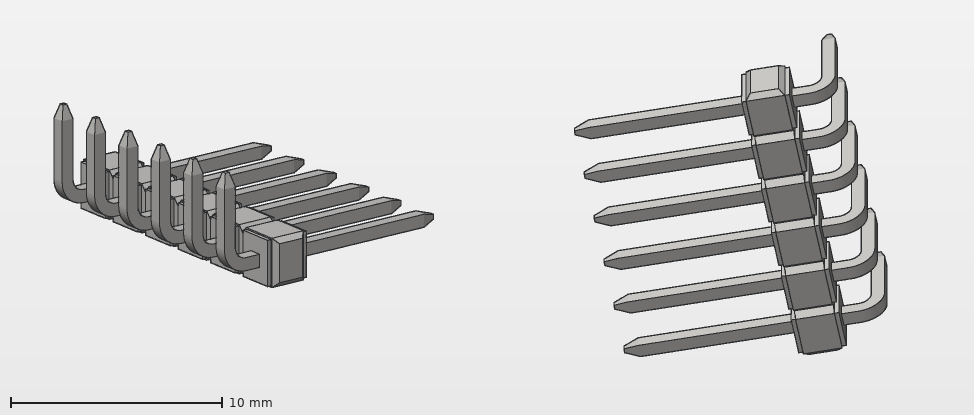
import cadquery as cq

pin_count = 6
body_length = 15.24
pitch = body_length / pin_count
overall_depth = 12.62
overall_height = 5.91

body_depth = 1.87
body_height = 2.47
end_chamfer = 0.26
notch_depth = 0.34
notch_half_width = 0.27

pad_width = 1.92
pad_height = 2.32
pad_span = 2.3

pin_size = 0.65
pin_axis_height = 1.2
inner_bend_radius = 0.61
outer_bend_radius = inner_bend_radius + pin_size
front_reach = 2.09
tip_length = 0.73
tip_size = 0.23

pin_front = -pad_span / 2 - front_reach
pin_back = pin_front + overall_depth
pin_bottom = pin_axis_height - pin_size / 2
pin_positions = [(i + 0.5) * pitch - body_length / 2 for i in range(pin_count)]
notch_positions = [i * pitch - body_length / 2 for i in range(1, pin_count)]


def make_body():
    """Bar with chamfered ends and V notches between the cells."""
    body = cq.Workplane("XY").box(body_length, body_depth, body_height, centered=(True, True, False))
    body = body.faces("<X or >X").edges().chamfer(end_chamfer)
    for x in notch_positions:
        for surface, apex in ((0, notch_depth), (body_height, body_height - notch_depth)):
            notch = (
                cq.Workplane("XZ")
                .polyline([(x - notch_half_width, surface), (x, apex), (x + notch_half_width, surface)])
                .close()
                .extrude(body_depth, both=True)
            )
            body = body.cut(notch)
    return body


def make_pad(x):
    """Block through the body that stands proud as a pad at front and back."""
    return cq.Workplane("XY").box(pad_width, pad_span, pad_height).translate((x, 0, body_height / 2))


def make_tip(base_plane):
    """Tapered square point growing along the normal of its base plane."""
    return (
        cq.Workplane(base_plane)
        .rect(pin_size, pin_size)
        .workplane(offset=tip_length)
        .rect(tip_size, tip_size)
        .loft()
    )


def make_pin(x):
    """Straight tail to the back, a right-angle bend at the front, and a point on each end."""
    tail_end = pin_back - tip_length
    leg_end = overall_height - tip_length
    shank = (
        cq.Workplane("YZ")
        .moveTo(tail_end, pin_bottom)
        .lineTo(pin_front + outer_bend_radius, pin_bottom)
        .radiusArc((pin_front, pin_bottom + outer_bend_radius), outer_bend_radius)
        .lineTo(pin_front, leg_end)
        .lineTo(pin_front + pin_size, leg_end)
        .lineTo(pin_front + pin_size, pin_bottom + outer_bend_radius)
        .radiusArc((pin_front + outer_bend_radius, pin_bottom + pin_size), -inner_bend_radius)
        .lineTo(tail_end, pin_bottom + pin_size)
        .close()
        .extrude(pin_size / 2, both=True)
        .translate((x, 0, 0))
    )
    leg_base = cq.Plane(origin=(x, pin_front + pin_size / 2, leg_end), normal=(0, 0, 1))
    tail_base = cq.Plane(origin=(x, tail_end, pin_axis_height), xDir=(1, 0, 0), normal=(0, 1, 0))
    return shank.union(make_tip(leg_base)).union(make_tip(tail_base))


result = make_body()
for pin_x in pin_positions:
    result = result.union(make_pad(pin_x)).union(make_pin(pin_x))